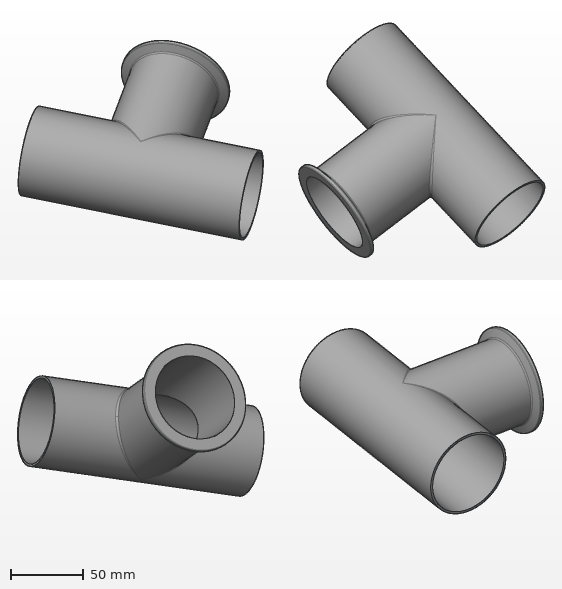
import cadquery as cq
import math

run_length = 158.8
tube_diameter = 63.5
bore_diameter = 60.2
branch_height = 92.0
junction_fillet = 1.6

ferrule_length = 12.7
flange_diameter = 77.5
flange_rim_width = 2.9
flange_back_angle = 20.0
flange_edge_round = 0.5
flange_neck_fillet = 1.1

tube_radius = tube_diameter / 2
bore_radius = bore_diameter / 2
flange_radius = flange_diameter / 2
cone_depth = (flange_radius - tube_radius) * math.tan(math.radians(flange_back_angle))
weld_y = branch_height - ferrule_length
rim_back_y = branch_height - flange_rim_width
neck_y = rim_back_y - cone_depth
selection_margin = 0.2


def run_cylinder(radius):
    """Cylinder along X over the full run length."""
    return cq.Workplane("YZ").circle(radius).extrude(run_length / 2, both=True)


def branch_cylinder(radius):
    """Cylinder along Y from the run axis to the flange face."""
    return cq.Workplane("XZ").circle(radius).extrude(-branch_height)


def edges_between(low_y, high_y, half_width):
    """Selector for edges centred inside a square band around the branch axis."""
    return cq.selectors.BoxSelector(
        (-half_width, low_y - selection_margin, -half_width),
        (half_width, high_y + selection_margin, half_width),
    )


def filleted_tee():
    """Solid run and branch with a weld fillet along their mitred junction."""
    tee = run_cylinder(tube_radius).union(branch_cylinder(tube_radius))
    return tee.edges(edges_between(0, tube_radius, tube_radius)).fillet(junction_fillet)


def ferrule():
    """Solid flange with a sloped back, rounded rim edges and a filleted neck."""
    body = (
        cq.Workplane("XY")
        .moveTo(0, weld_y)
        .lineTo(tube_radius, weld_y)
        .lineTo(tube_radius, neck_y)
        .lineTo(flange_radius, rim_back_y)
        .lineTo(flange_radius, branch_height)
        .lineTo(0, branch_height)
        .close()
        .revolve(360, (0, 0, 0), (0, 1, 0))
    )
    body = body.edges(edges_between(rim_back_y, branch_height, flange_radius))
    body = body.fillet(flange_edge_round)
    body = body.edges(edges_between(neck_y, neck_y, flange_radius))
    return body.fillet(flange_neck_fillet)


outer = filleted_tee().union(ferrule())
result = outer.cut(run_cylinder(bore_radius)).cut(branch_cylinder(bore_radius))